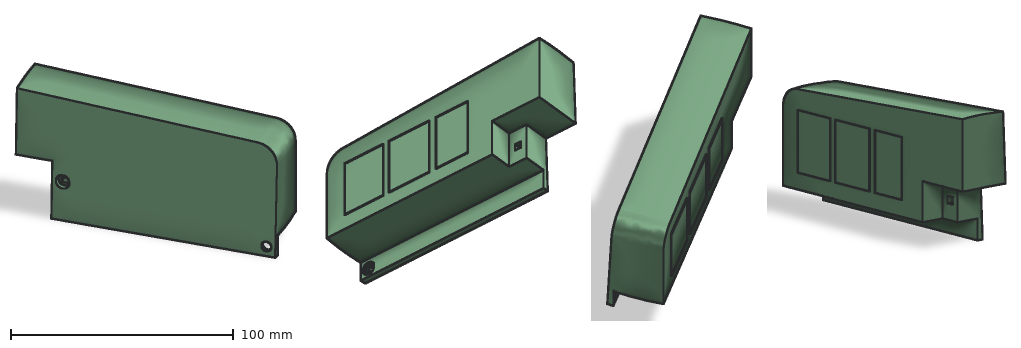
import cadquery as cq
import math

LENGTH = 125.0
HEIGHT = 62.9
TOTAL_DEPTH = 27.1
PAD_HEIGHT = 0.4
BOTTOM_DEPTH = TOTAL_DEPTH - PAD_HEIGHT
FRONT_TILT = 2.5
TOP_SLOPE = 3.0
CORNER_RADIUS = 10.0

TOP_DEPTH = BOTTOM_DEPTH - HEIGHT * math.tan(math.radians(FRONT_TILT))
CROWN_Y = -TOP_DEPTH / 2
CROWN_RISE = 0.5

STEP_X = 17.4
STEP_Z = 29.0
BOX_BOTTOM = 10.1
FLANGE_BACK_Y = -23.8

SCREW_X = 22.5
SCREW_Z = 19.4
LUG_BACK_Y = -11.9
HEAD_DIAMETER = 6.5
HEAD_DEPTH = 3.8
SLOT_DEPTH = 0.5
SHANK_SIZE = 3.4

FLANGE_HOLE_X = 120.0
FLANGE_HOLE_Z = 4.9
FLANGE_HOLE_DIAMETER = 4.8
FLANGE_RECESS_DIAMETER = 6.5
FLANGE_RECESS_DEPTH = 1.0

PAD_SPANS = [(41.8, 60.4), (64.2, 87.9), (91.4, 113.9)]
PAD_BOTTOM = 18.0
PAD_TOP = 46.9

CLEARANCE = 12.5


def block(x_range, y_range, z_range):
    """Box between the given lower and upper limits."""
    ranges = (x_range, y_range, z_range)
    sizes = [high - low for low, high in ranges]
    corner = tuple(low for low, high in ranges)
    return cq.Workplane("XY").box(*sizes, centered=False).translate(corner)


def crown_drop(y):
    """Distance of the crown arc below its ridge at depth y."""
    half_chord = TOP_DEPTH / 2
    radius = (half_chord**2 + CROWN_RISE**2) / (2 * CROWN_RISE)
    return radius - math.sqrt(radius**2 - (y - CROWN_Y) ** 2)


def crowned_body():
    """Block with a crowned, sloping top and a crowned +X end, joined by a rounded corner."""
    front_y = -BOTTOM_DEPTH
    front_drop = crown_drop(front_y)
    back_drop = crown_drop(0)

    run = LENGTH + 2 * CLEARANCE
    top_prism = (
        cq.Workplane("YZ", origin=(-CLEARANCE, 0, 0))
        .moveTo(0, -HEIGHT - CLEARANCE)
        .lineTo(0, -back_drop)
        .threePointArc((CROWN_Y, 0), (front_y, -front_drop))
        .lineTo(front_y, -HEIGHT - CLEARANCE)
        .close()
        .extrude(run)
        .rotate((0, 0, 0), (0, 1, 0), TOP_SLOPE)
        .translate((0, 0, HEIGHT))
    )
    end_prism = (
        cq.Workplane("XY")
        .moveTo(0, 0)
        .lineTo(LENGTH - back_drop, 0)
        .threePointArc((LENGTH, CROWN_Y), (LENGTH - front_drop, front_y))
        .lineTo(0, front_y)
        .close()
        .extrude(HEIGHT + CLEARANCE)
    )
    corner_z = HEIGHT - LENGTH * math.tan(math.radians(TOP_SLOPE))
    corner_edge = cq.selectors.NearestToPointSelector((LENGTH, CROWN_Y, corner_z))
    return end_prism.intersect(top_prism).edges(corner_edge).fillet(CORNER_RADIUS)


def front_waste():
    """Wedge in front of the tilted front face."""
    tilt = math.tan(math.radians(FRONT_TILT))
    top_z = HEIGHT + CLEARANCE
    return (
        cq.Workplane("YZ", origin=(-CLEARANCE, 0, 0))
        .moveTo(-BOTTOM_DEPTH - CLEARANCE, -CLEARANCE)
        .lineTo(-BOTTOM_DEPTH - CLEARANCE * tilt, -CLEARANCE)
        .lineTo(-BOTTOM_DEPTH + top_z * tilt, top_z)
        .lineTo(-BOTTOM_DEPTH - CLEARANCE, top_z)
        .close()
        .extrude(LENGTH + 2 * CLEARANCE)
    )


def lower_waste():
    """Step at the lower left, space behind the flange, and notch behind the screw lug."""
    all_depth = (-BOTTOM_DEPTH - CLEARANCE, CLEARANCE)
    lug_end_x = 2 * SCREW_X - STEP_X
    step = block((-CLEARANCE, STEP_X), all_depth, (-CLEARANCE, STEP_Z))
    all_length = (-CLEARANCE, LENGTH + CLEARANCE)
    behind_flange = block(all_length, (FLANGE_BACK_Y, CLEARANCE), (-CLEARANCE, BOX_BOTTOM))
    lug_notch = block((0, lug_end_x), (LUG_BACK_Y, CLEARANCE), (0, STEP_Z))
    return step.union(behind_flange).union(lug_notch)


def bore(x, z, diameter, end_y, start_y=-BOTTOM_DEPTH - CLEARANCE):
    """Round bore along Y from start_y, by default in front of the body, back to end_y."""
    return cq.Workplane("XZ", origin=(x, end_y, z)).circle(diameter / 2).extrude(end_y - start_y)


def screw_hole():
    """Head counterbore, a shallow slot across its floor, and a square shank hole."""
    head_floor_y = -BOTTOM_DEPTH + HEAD_DEPTH
    slot_floor_y = head_floor_y + SLOT_DEPTH
    shank_x = (SCREW_X - SHANK_SIZE / 2, SCREW_X + SHANK_SIZE / 2)
    shank_z = (SCREW_Z - SHANK_SIZE / 2, SCREW_Z + SHANK_SIZE / 2)
    head_x = (SCREW_X - HEAD_DIAMETER / 2, SCREW_X + HEAD_DIAMETER / 2)
    head = bore(SCREW_X, SCREW_Z, HEAD_DIAMETER, head_floor_y)
    slot = bore(SCREW_X, SCREW_Z, HEAD_DIAMETER, slot_floor_y).intersect(
        block(head_x, (head_floor_y, slot_floor_y), shank_z)
    )
    shank = block(shank_x, (head_floor_y, CLEARANCE), shank_z)
    return head.union(slot).union(shank)


def flange_hole():
    """Round hole through the flange with a shallow recess around it on the back."""
    recess_floor_y = FLANGE_BACK_Y - FLANGE_RECESS_DEPTH
    hole = bore(FLANGE_HOLE_X, FLANGE_HOLE_Z, FLANGE_HOLE_DIAMETER, FLANGE_BACK_Y)
    recess = bore(FLANGE_HOLE_X, FLANGE_HOLE_Z, FLANGE_RECESS_DIAMETER, FLANGE_BACK_Y, recess_floor_y)
    return hole.union(recess)


body = crowned_body().cut(front_waste()).cut(lower_waste())
body = body.cut(screw_hole())
body = body.cut(flange_hole())
for pad_span in PAD_SPANS:
    body = body.union(block(pad_span, (-PAD_HEIGHT, PAD_HEIGHT), (PAD_BOTTOM, PAD_TOP)))

result = body